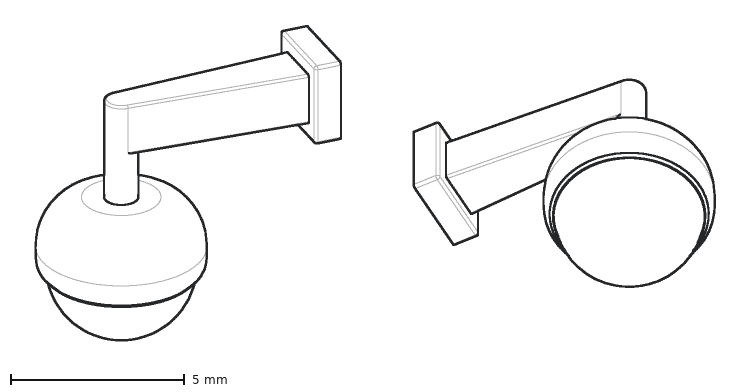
import cadquery as cq
import math


total_length = 8.82
total_height = 8.04

dome_sphere_radius = 2.19
dome_height = 1.96

ring_bottom_radius = 2.2
ring_thickness = 0.1
ring_top_radius = ring_bottom_radius + ring_thickness
ring_top_z = dome_height + ring_thickness

housing_radius = 2.47
housing_flat_radius = 1.15
housing_top_z = 4.38
shoulder_z = 2.79

plate_side = 2.52
plate_thickness = 0.81
plate_edge_radius = 0.09
plate_back_y = total_length - housing_radius
plate_front_y = plate_back_y - plate_thickness
plate_center_z = total_height - plate_side / 2

arm_root_width = 1.605
arm_height = 1.59
post_radius = 0.49
arm_edge_radius = 0.07
arm_bottom_z = plate_center_z - arm_height / 2
arm_top_z = arm_bottom_z + arm_height


def make_dome():
    """Cap of a sphere, open side up."""
    rim_radius = math.sqrt(dome_sphere_radius**2 - (dome_sphere_radius - dome_height) ** 2)
    half_angle = math.acos((dome_sphere_radius - dome_height) / dome_sphere_radius) / 2
    arc_middle = (
        dome_sphere_radius * math.sin(half_angle),
        dome_sphere_radius * (1 - math.cos(half_angle)),
    )
    profile = (
        cq.Workplane("XZ")
        .moveTo(0, 0)
        .threePointArc(arc_middle, (rim_radius, dome_height))
        .lineTo(0, dome_height)
        .close()
    )
    return profile.revolve(360, (0, 0, 0), (0, 1, 0))


def make_trim_ring():
    """Thin conical disc between the dome and the housing."""
    profile = cq.Workplane("XZ").polyline(
        [
            (0, dome_height),
            (ring_bottom_radius, dome_height),
            (ring_top_radius, ring_top_z),
            (0, ring_top_z),
        ]
    )
    return profile.close().revolve(360, (0, 0, 0), (0, 1, 0))


def make_housing():
    """Revolved housing with an elliptical shoulder and an inward-curving lower side."""
    shoulder_width = housing_radius - housing_flat_radius
    shoulder_height = housing_top_z - shoulder_z
    diagonal = math.sqrt(0.5)
    shoulder_middle = (
        housing_flat_radius + shoulder_width * diagonal,
        shoulder_z + shoulder_height * diagonal,
    )
    lower_corner = (housing_radius, ring_top_z + housing_radius - ring_top_radius)
    profile = (
        cq.Workplane("XZ")
        .moveTo(0, ring_top_z)
        .lineTo(ring_top_radius, ring_top_z)
        .bezier(
            [lower_corner, lower_corner, (housing_radius, shoulder_z)],
            includeCurrent=True,
        )
        .spline(
            [shoulder_middle, (housing_flat_radius, housing_top_z)],
            tangents=[(0, shoulder_height), (-shoulder_width, 0)],
            includeCurrent=True,
        )
        .lineTo(0, housing_top_z)
        .close()
    )
    return profile.revolve(360, (0, 0, 0), (0, 1, 0))


def make_arm():
    """Tapered arm with a round end, and the post that hangs from that end."""
    arm = (
        cq.Workplane("XY", origin=(0, 0, arm_bottom_z))
        .moveTo(arm_root_width / 2, plate_front_y)
        .lineTo(post_radius, 0)
        .threePointArc((0, -post_radius), (-post_radius, 0))
        .lineTo(-arm_root_width / 2, plate_front_y)
        .close()
        .extrude(arm_height)
    )
    long_edges = arm.faces("<Z or >Z").edges("not >Y")
    arm = long_edges.fillet(arm_edge_radius)
    post = (
        cq.Workplane("XY", origin=(0, 0, housing_top_z))
        .circle(post_radius)
        .extrude(arm_top_z - arm_edge_radius - housing_top_z)
    )
    return arm.union(post)


def make_wall_plate():
    """Square plate, rounded on every edge except those of its back face."""
    plate = cq.Workplane("XY").box(plate_side, plate_thickness, plate_side)
    plate = plate.edges("not >Y").fillet(plate_edge_radius)
    return plate.translate((0, plate_back_y - plate_thickness / 2, plate_center_z))


dome = make_dome()
trim_ring = make_trim_ring()
housing = make_housing()
arm = make_arm()
wall_plate = make_wall_plate()

result = cq.Compound.makeCompound(
    [dome.val(), trim_ring.val(), housing.val(), arm.solids().val(), wall_plate.solids().val()]
)